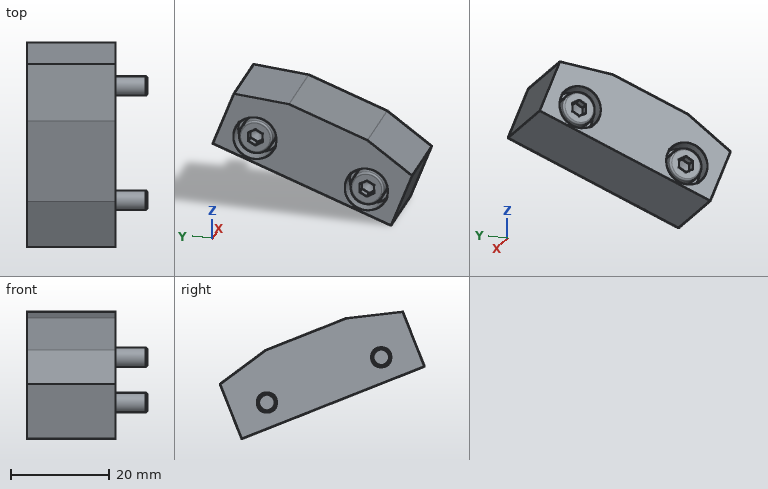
import math

import cadquery as cq

block_width = 18.0
block_length = 40.0
end_height = 12.0
crown_height = 15.0
bevel_angle = 15.0
tilt_angle = 21.6
bevel_run = (crown_height - end_height) / math.tan(math.radians(bevel_angle))

screw_spacing = 25.0
screw_height = 5.0

shank_diameter = 4.0
shank_length = 20.0
tip_chamfer = 0.4
head_diameter = 7.0
head_height = 4.0
head_fillet = 0.4
head_recess = 0.5
socket_sides = 6
socket_across_flats = 3.0
socket_depth = 2.0
socket_point_angle = 120.0

bore_diameter = 9.0
bore_depth = head_recess + head_height
clearance_diameter = 4.1


def rod(diameter, start, length):
    """Cylinder along +X, starting at the given X."""
    return cq.Workplane("YZ").workplane(offset=start).circle(diameter / 2).extrude(length)


def tilted(y, z):
    """Place a point of the untilted block outline in the YZ plane."""
    angle = math.radians(tilt_angle)
    return (
        y * math.cos(angle) - z * math.sin(angle),
        y * math.sin(angle) + z * math.cos(angle),
    )


def make_block():
    half_length = block_length / 2
    half_crown = half_length - bevel_run
    outline = [
        (-half_length, 0),
        (half_length, 0),
        (half_length, end_height),
        (half_crown, crown_height),
        (-half_crown, crown_height),
        (-half_length, end_height),
    ]
    corners = [tilted(y, z) for y, z in outline]
    return cq.Workplane("YZ").polyline(corners).close().extrude(block_width)


def make_screw_hole():
    through_hole = rod(clearance_diameter, 0, block_width)
    return through_hole.union(rod(bore_diameter, 0, bore_depth))


def make_socket():
    """Hexagonal recess, corners up and down, ending in a conical point."""
    across_corners = socket_across_flats / math.cos(math.pi / socket_sides)
    corner_radius = across_corners / 2
    point_depth = corner_radius / math.tan(math.radians(socket_point_angle / 2))
    full_depth = socket_depth + point_depth
    hexagon = (
        cq.Workplane("YZ")
        .workplane(offset=head_recess)
        .transformed(rotate=(0, 0, 90))
        .polygon(socket_sides, across_corners)
        .extrude(full_depth)
    )
    pointed_rod = (
        cq.Workplane("XY")
        .moveTo(head_recess, 0)
        .lineTo(head_recess, corner_radius)
        .lineTo(head_recess + socket_depth, corner_radius)
        .lineTo(head_recess + full_depth, 0)
        .close()
        .revolve(360, (0, 0, 0), (1, 0, 0))
    )
    return hexagon.intersect(pointed_rod)


def make_screw():
    head = rod(head_diameter, head_recess, head_height).faces("<X").edges().fillet(head_fillet)
    shank = rod(shank_diameter, bore_depth, shank_length).faces(">X").edges().chamfer(tip_chamfer)
    return head.union(shank).cut(make_socket())


result = make_block()
for side in (-1, 1):
    screw_y, screw_z = tilted(side * screw_spacing / 2, screw_height)
    position = (0, screw_y, screw_z)
    result = result.cut(make_screw_hole().translate(position))
    result = result.union(make_screw().translate(position))